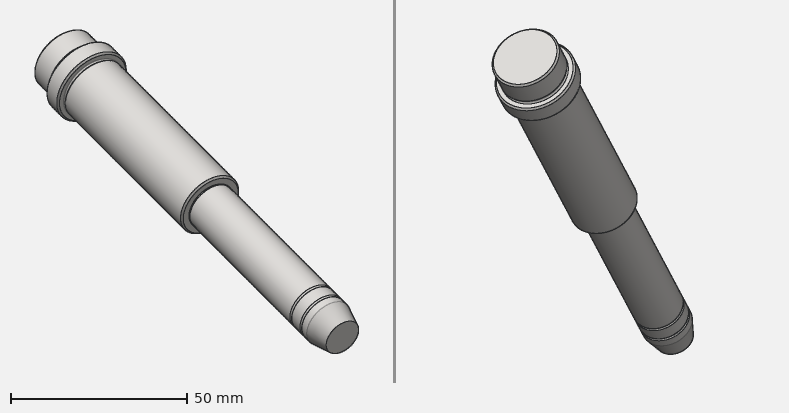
import cadquery as cq

total_length = 140.0
flange_start = 9.0
flange_end = 15.0
shank_end = 74.0
nose_length = 7.0
nose_start = total_length - nose_length

body_diameter = 20.0
flange_diameter = 24.0
pin_diameter = 15.0
tip_diameter = 11.2

edge_chamfer = 0.5

head_undercut_width = 1.3
shank_undercut_width = 0.8
undercut_depth = 0.4
pin_undercut_width = 0.4
pin_undercut_depth = 0.1
ring_groove_width = 0.8
ring_groove_depth = 0.3
ring_groove_starts = (124.6, 129.6)


def cylinder(start, end, diameter):
    """Solid cylinder on the X axis between two axial stations."""
    return cq.Workplane("YZ", origin=(start, 0, 0)).circle(diameter / 2).extrude(end - start)


def revolve_about_axis(profile):
    """Turn a closed XY profile fully around the X axis."""
    return profile.revolve(360, (0, 0, 0), (1, 0, 0))


def groove_cutter(start, width, depth, surface_diameter):
    """Ring with a circular-arc section that cuts a shallow groove into a round surface."""
    surface_radius = surface_diameter / 2
    profile = (
        cq.Workplane("XY")
        .moveTo(start, surface_radius)
        .threePointArc(
            (start + width / 2, surface_radius - depth),
            (start + width, surface_radius),
        )
        .close()
    )
    return revolve_about_axis(profile)


head = cylinder(0, flange_start, body_diameter).faces("<X").chamfer(edge_chamfer)
flange = cylinder(flange_start, flange_end, flange_diameter).edges().chamfer(edge_chamfer)
shank = cylinder(flange_end, shank_end, body_diameter).faces(">X").chamfer(edge_chamfer)

pin = cylinder(shank_end, nose_start, pin_diameter)
nose = revolve_about_axis(
    cq.Workplane("XY")
    .moveTo(nose_start, 0)
    .lineTo(nose_start, pin_diameter / 2)
    .lineTo(total_length, tip_diameter / 2)
    .lineTo(total_length, 0)
    .close()
)

result = head.union(flange).union(shank).union(pin).union(nose)

head_undercut_start = flange_start - head_undercut_width
result = result.cut(groove_cutter(head_undercut_start, head_undercut_width, undercut_depth, body_diameter))
result = result.cut(groove_cutter(flange_end, shank_undercut_width, undercut_depth, body_diameter))
result = result.cut(groove_cutter(shank_end, pin_undercut_width, pin_undercut_depth, pin_diameter))

for groove_start in ring_groove_starts:
    result = result.cut(groove_cutter(groove_start, ring_groove_width, ring_groove_depth, pin_diameter))